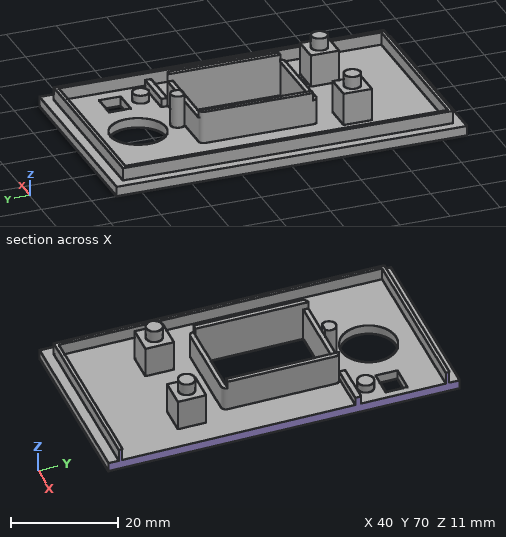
import cadquery as cq

PLATE_X = 40.0
PLATE_Y = 70.0
PLATE_TOP = 2.0

RIM_INSET = 2.05
RIM_THICKNESS = 0.75
RIM_TOP = 4.55

ROUND_HOLE_DIAMETER = 11.0
OPENINGS_Y = 23.0
SMALL_WINDOW_X = 5.3
SMALL_WINDOW_Y = 4.3
SIDE_FEATURES_X = 12.0

WINDOW_X = 16.0
WINDOW_Y = 21.5
WINDOW_CENTRE_Y = 2.25
FRAME_WALL = 1.0
FRAME_CORNER_RADIUS = 1.0
FRAME_SIDE_TOP = 8.5
FRAME_END_TOP = 7.0
FRAME_X = WINDOW_X + 2 * FRAME_WALL
FRAME_Y = WINDOW_Y + 2 * FRAME_WALL
WINDOW_FRONT_Y = WINDOW_CENTRE_Y - WINDOW_Y / 2
FRAME_BACK_Y = WINDOW_CENTRE_Y + FRAME_Y / 2

STOP_DIAMETER = 2.75
STOP_Y = 15.1

POST_SIDE = 5.65
POST_TOP = FRAME_SIDE_TOP
POST_X = 8.5
POST_Y = -16.5
PIN_DIAMETER = 3.25
PIN_TOP = 11.0

LOW_PIN_DIAMETER = 3.2
LOW_PIN_Y = 17.85
LOW_PIN_TOP = 3.65
RIB_X = 8.4
RIB_Y = 1.2
RIB_CENTRE_Y = 14.75
RIB_TOP = 3.7


def block(size_x, size_y, bottom, top, x=0.0, y=0.0):
    """Upright rectangular block centred on (x, y)."""
    return cq.Workplane("XY", origin=(x, y, bottom)).rect(size_x, size_y).extrude(top - bottom)


def cylinder(diameter, bottom, top, x=0.0, y=0.0):
    """Upright cylinder centred on (x, y)."""
    return cq.Workplane("XY", origin=(x, y, bottom)).circle(diameter / 2).extrude(top - bottom)


def make_plate():
    """Flat base plate with the rim on top."""
    rim_x = PLATE_X - 2 * RIM_INSET
    rim_y = PLATE_Y - 2 * RIM_INSET
    inside_x = rim_x - 2 * RIM_THICKNESS
    inside_y = rim_y - 2 * RIM_THICKNESS
    rim = block(rim_x, rim_y, 0, RIM_TOP).cut(block(inside_x, inside_y, 0, RIM_TOP))
    return block(PLATE_X, PLATE_Y, 0, PLATE_TOP).union(rim)


def make_frame():
    """Rounded frame whose front and back walls are lower than its side walls."""
    frame = block(FRAME_X, FRAME_Y, 0, FRAME_SIDE_TOP, y=WINDOW_CENTRE_Y)
    frame = frame.edges("|Z").fillet(FRAME_CORNER_RADIUS)
    front_wall_y = WINDOW_FRONT_Y - FRAME_WALL / 2
    frame = frame.cut(block(FRAME_X, FRAME_WALL, FRAME_END_TOP, FRAME_SIDE_TOP, y=front_wall_y))
    return frame.cut(block(WINDOW_X, FRAME_Y, FRAME_END_TOP, FRAME_SIDE_TOP, y=WINDOW_CENTRE_Y))


def make_stop():
    """Round stop cut flat along the back face of the frame."""
    stop = cylinder(STOP_DIAMETER, 0, FRAME_SIDE_TOP, y=STOP_Y)
    flat_cutter_y = FRAME_BACK_Y - STOP_DIAMETER / 2
    return stop.cut(block(STOP_DIAMETER, STOP_DIAMETER, 0, FRAME_SIDE_TOP, y=flat_cutter_y))


def make_post(x):
    """Square post with a locating pin on top."""
    post = block(POST_SIDE, POST_SIDE, 0, POST_TOP, x, POST_Y)
    return post.union(cylinder(PIN_DIAMETER, POST_TOP, PIN_TOP, x, POST_Y))


def make_openings():
    """Cutting bodies for the three openings through the part."""
    window = block(WINDOW_X, WINDOW_Y, 0, FRAME_SIDE_TOP, y=WINDOW_CENTRE_Y)
    round_hole = cylinder(ROUND_HOLE_DIAMETER, 0, PLATE_TOP, y=OPENINGS_Y)
    small_window = block(SMALL_WINDOW_X, SMALL_WINDOW_Y, 0, PLATE_TOP, SIDE_FEATURES_X, OPENINGS_Y)
    return window.union(round_hole).union(small_window)


result = make_plate().union(make_frame()).union(make_stop())
for post_x in (-POST_X, POST_X):
    result = result.union(make_post(post_x))
result = result.union(cylinder(LOW_PIN_DIAMETER, 0, LOW_PIN_TOP, SIDE_FEATURES_X, LOW_PIN_Y))
result = result.union(block(RIB_X, RIB_Y, 0, RIB_TOP, SIDE_FEATURES_X, RIB_CENTRE_Y))
result = result.cut(make_openings())